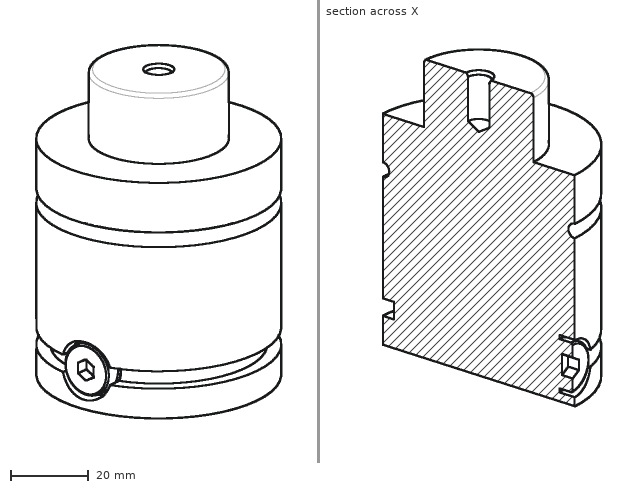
import cadquery as cq
import math

total_height = 84.0
body_radius = 63.0 / 2
body_height = 64.9
rod_radius = 36.0 / 2
rod_edge_fillet = 1.0

round_groove_height = 49.2
round_groove_radius = 2.0

base_groove_bottom = 8.2
base_groove_top = 13.0
base_groove_floor_radius = 27.9

hole_diameter = 6.8
hole_mouth_diameter = 8.0
hole_mouth_depth = 1.0
hole_depth = 13.4
drill_point_angle = 118.0

plug_height = (base_groove_bottom + base_groove_top) / 2
pocket_diameter = 16.0
pocket_floor = 26.5
plug_diameter = 14.0
plug_face = 30.8
plug_edge_chamfer = 0.5
hex_across_flats = 5.0
hex_depth = 3.5


def side_plane(distance):
    """Plane on the -Y side facing outward, centred on the plug axis."""
    return cq.Workplane(cq.Plane((0, -distance, plug_height), (1, 0, 0), (0, -1, 0)))


def make_body():
    body = cq.Workplane("XY").circle(body_radius).extrude(body_height)
    rod = cq.Workplane("XY").circle(rod_radius).extrude(total_height)
    return body.union(rod.faces(">Z").edges().fillet(rod_edge_fillet))


def round_groove():
    profile = cq.Workplane("XZ").center(body_radius, round_groove_height).circle(round_groove_radius)
    return profile.revolve(360, (-body_radius, 0), (-body_radius, 1))


def base_groove():
    ring = cq.Workplane("XY").workplane(offset=base_groove_bottom)
    ring = ring.circle(body_radius).circle(base_groove_floor_radius)
    return ring.extrude(base_groove_top - base_groove_bottom)


def rod_hole():
    radius = hole_diameter / 2
    mouth_radius = hole_mouth_diameter / 2
    point_length = radius / math.tan(math.radians(drill_point_angle / 2))
    full_depth_height = total_height - hole_depth
    profile = cq.Workplane("XZ").polyline([
        (0, total_height),
        (mouth_radius, total_height),
        (radius, total_height - hole_mouth_depth),
        (radius, full_depth_height),
        (0, full_depth_height - point_length),
    ])
    return profile.close().revolve(360, (0, 0), (0, 1))


def plug_pocket():
    return side_plane(pocket_floor).circle(pocket_diameter / 2).extrude(body_radius - pocket_floor)


def plug():
    cylinder = side_plane(pocket_floor).circle(plug_diameter / 2).extrude(plug_face - pocket_floor)
    cylinder = cylinder.faces("<Y").chamfer(plug_edge_chamfer)
    hex_across_corners = hex_across_flats / math.cos(math.pi / 6)
    socket = side_plane(plug_face).transformed(rotate=(0, 0, 90))
    socket = socket.polygon(6, hex_across_corners).extrude(-hex_depth)
    return cylinder.cut(socket)


result = make_body().cut(round_groove()).cut(base_groove()).cut(rod_hole())
result = result.cut(plug_pocket()).union(plug())